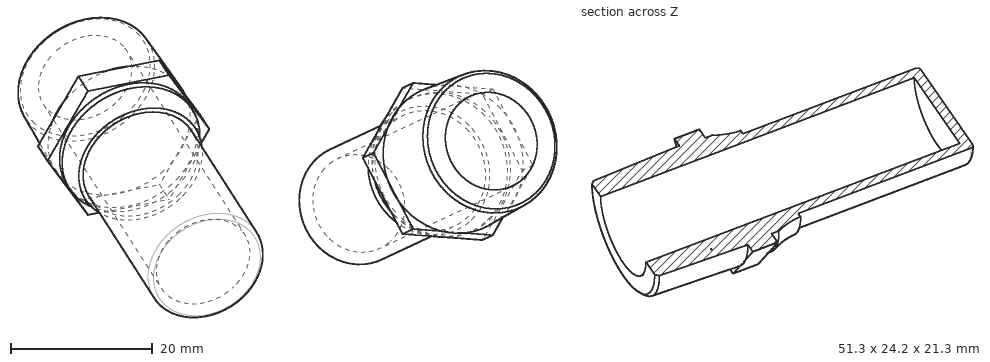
import cadquery as cq
import math

TOTAL_LENGTH = 51.3
THREAD_LENGTH = 14.3
HEX_THICKNESS = 4.0
COLLAR_LENGTH = 1.1
NECK_LENGTH = 4.0

THREAD_MAX_DIAMETER = 21.3
THREAD_TAPER = 1 / 16
HEX_ACROSS_FLATS = 21.0
COLLAR_DIAMETER = 20.64
NECK_END_DIAMETER = 18.5
TUBE_DIAMETER = 17.2
BORE_DIAMETER = 14.0

NECK_ARC_RADIUS = 10.0
THREAD_CHAMFER = 0.5
TUBE_EDGE_RADIUS = 0.6

HEX_START = THREAD_LENGTH
HEX_END = HEX_START + HEX_THICKNESS
COLLAR_END = HEX_END + COLLAR_LENGTH
NECK_END = COLLAR_END + NECK_LENGTH
THREAD_MAX_RADIUS = THREAD_MAX_DIAMETER / 2
COLLAR_RADIUS = COLLAR_DIAMETER / 2
NECK_END_RADIUS = NECK_END_DIAMETER / 2
TUBE_RADIUS = TUBE_DIAMETER / 2
THREAD_TIP_RADIUS = THREAD_MAX_RADIUS - (THREAD_LENGTH - THREAD_CHAMFER) * THREAD_TAPER / 2
END_WALL = (TUBE_DIAMETER - BORE_DIAMETER) / 2
BORE_DEPTH = TOTAL_LENGTH - END_WALL


def turned_body():
    """Tapered thread, collar, concave neck and tube, revolved about X."""
    profile = (
        cq.Workplane("XY")
        .moveTo(0, 0)
        .lineTo(0, THREAD_TIP_RADIUS - THREAD_CHAMFER)
        .lineTo(THREAD_CHAMFER, THREAD_TIP_RADIUS)
        .lineTo(HEX_START, THREAD_MAX_RADIUS)
        .lineTo(HEX_START, COLLAR_RADIUS)
        .lineTo(COLLAR_END, COLLAR_RADIUS)
        .radiusArc((NECK_END, NECK_END_RADIUS), -NECK_ARC_RADIUS)
        .lineTo(NECK_END, TUBE_RADIUS)
        .lineTo(TOTAL_LENGTH - TUBE_EDGE_RADIUS, TUBE_RADIUS)
        .radiusArc((TOTAL_LENGTH, TUBE_RADIUS - TUBE_EDGE_RADIUS), TUBE_EDGE_RADIUS)
        .lineTo(TOTAL_LENGTH, 0)
        .close()
    )
    return profile.revolve(360, (0, 0, 0), (1, 0, 0))


def wrench_hex():
    """Hexagon with flats facing up and down and corners along Y."""
    across_corners = HEX_ACROSS_FLATS / math.cos(math.pi / 6)
    return cq.Workplane("YZ", origin=(HEX_START, 0, 0)).polygon(6, across_corners).extrude(HEX_THICKNESS)


def bore():
    """Blind bore entering from the threaded end."""
    return cq.Workplane("YZ").circle(BORE_DIAMETER / 2).extrude(BORE_DEPTH)


result = turned_body().union(wrench_hex()).cut(bore())